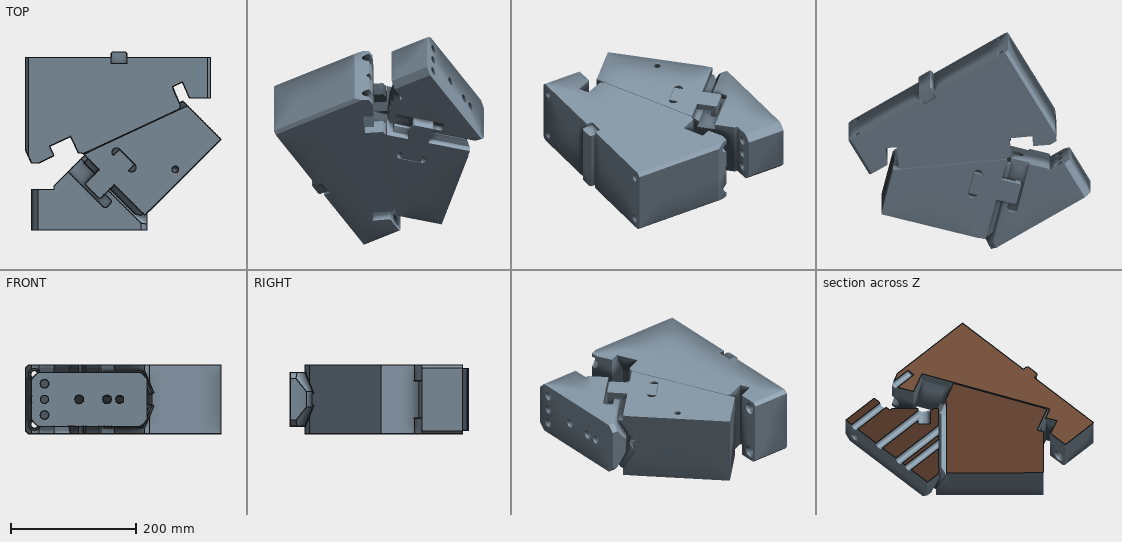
import cadquery as cq
import math

OVERSHOOT = 3.0
FAR = 187.0
HALF_HEIGHT = 55.0
BASE_HALF_HEIGHT = 43.15

JOINT_CORNER = (190.5, 23.22)
V_TAN = math.tan(math.radians(60))
V_SIN = math.sin(math.radians(60))
V_COS = math.cos(math.radians(60))
V_MOUTH = 45.2
PLATE_THICKNESS = 12.5
PLATE_SHIFT = PLATE_THICKNESS / V_SIN
RIB_HALF_WIDTH = 8.5
RIB_DEPTH = 16.2

GUIDE_ANGLE = 25.0
GUIDE_ORIGIN = (92.5, 121.7)
GUIDE_GAP = 1.0
THROAT_HALF_WIDTH = 30.2
THROAT_DEPTH = 19.3
HEAD_HALF_WIDTH = 42.0
ROOF_DEPTH = 33.3
ROOF_FLAT = 15.5


def joint_profile(along):
    x0, y0 = JOINT_CORNER
    step = along * math.sqrt(0.5)
    return cq.Workplane(cq.Plane((x0 - step, y0 + step, 0), (1, 1, 0), (-1, 1, 0)))


def joint_plan(z):
    return cq.Workplane(cq.Plane((*JOINT_CORNER, z), (-1, 1, 0), (0, 0, 1)))


GUIDE_COS = math.cos(math.radians(GUIDE_ANGLE))
GUIDE_SIN = math.sin(math.radians(GUIDE_ANGLE))


def guide_profile(along):
    x0, y0 = GUIDE_ORIGIN
    origin = (x0 + along * GUIDE_COS, y0 + along * GUIDE_SIN, 0)
    return cq.Workplane(cq.Plane(origin, (-GUIDE_SIN, GUIDE_COS, 0), (GUIDE_COS, GUIDE_SIN, 0)))


GUIDE_PLAN = cq.Plane((*GUIDE_ORIGIN, 0), (GUIDE_COS, GUIDE_SIN, 0))


def guide_point(along, depth):
    """Plan position from distances along the guide and into the driver."""
    return GUIDE_PLAN.toWorldCoords((along, depth)).toTuple()[:2]


def mirrored(half):
    """Close a half profile, given from outside to the centre, about the local x axis."""
    return half + [(x, -y) for x, y in reversed(half)]


def block(outline, half_height):
    return cq.Workplane("XY").workplane(offset=-half_height).polyline(outline).close().extrude(2 * half_height)


def bore(x, z, radius, y_start, y_end):
    """Cylinder along +Y."""
    axis = cq.Plane((x, y_start, z), (1, 0, 0), (0, 1, 0))
    return cq.Workplane(axis).circle(radius).extrude(y_end - y_start)


def contact_offset(z):
    """Distance across the joint at which base and wear plates meet, at height z."""
    return (V_MOUTH - z) / V_TAN - PLATE_SHIFT


def roof_depth(z):
    return ROOF_DEPTH + (HALF_HEIGHT - z) / V_TAN


DRIVER_TOP = 275.0
DRIVER_RIGHT = 294.8
DRIVER_FOOT = 106.5
DRIVER_RIGHT_FOOT = 210.0
DRIVER_CHAMFER = 5.0
NOSE_FILLET = 7.0
LEFT_FOOT = [(0, 127.0), (9.7, DRIVER_FOOT), (21.5, DRIVER_FOOT)]
NOSE_STEP = [(89.7, 122.5), (89.7, GUIDE_ORIGIN[1])]
RIGHT_NOTCH = [(248.7, 194.5), (234.3, 228.0), (250.0, 235.5), (261.0, DRIVER_RIGHT_FOOT)]
LEFT_NOTCH_START = -44.0
LEFT_NOTCH_END = -7.2
LEFT_NOTCH_LIP = 16.8
LEFT_NOTCH_NOSE = 4.5
GUIDE_LENGTH = 172.0
SCREW_INSET = 14.3
SCREW_Z = 40.0
SCREW_RADIUS = 6.0
COUNTERBORE_RADIUS = 9.5
LEFT_COUNTERBORE_FLOOR = 126.2
RIGHT_COUNTERBORE_FLOOR = 229.7
DRIVER_DOWEL_RADIUS = 6.2
DRIVER_DOWEL_END = 143.5
KEY_LEFT = 136.5
KEY_WIDTH = 25.0
KEY_BOTTOM = 265.0
KEY_TOP = 284.0
KEY_HALF_HEIGHT = 49.4
KEY_CHAMFER = 2.5


def guide_channel():
    """T slot with a V roof, along the whole driver joint."""
    half = [
        (-OVERSHOOT, THROAT_HALF_WIDTH),
        (THROAT_DEPTH, THROAT_HALF_WIDTH),
        (THROAT_DEPTH, HEAD_HALF_WIDTH),
        (roof_depth(HEAD_HALF_WIDTH), HEAD_HALF_WIDTH),
        (roof_depth(ROOF_FLAT), ROOF_FLAT),
    ]
    start = LEFT_NOTCH_END - OVERSHOOT
    channel = guide_profile(start).polyline(mirrored(half)).close().extrude(GUIDE_LENGTH - start)
    throat = guide_profile(start).polyline(mirrored(half[:2])).close().extrude(GUIDE_LENGTH + OVERSHOOT - start)
    return channel.union(throat)


def left_notch():
    """Cross slot with a V roof."""
    half = [(-OVERSHOOT, HALF_HEIGHT), (ROOF_DEPTH, HALF_HEIGHT), (roof_depth(ROOF_FLAT), ROOF_FLAT)]
    width = LEFT_NOTCH_END - LEFT_NOTCH_START
    return guide_profile(LEFT_NOTCH_START).polyline(mirrored(half)).close().extrude(width)


def make_driver():
    outline = [
        (0, DRIVER_TOP), *LEFT_FOOT,
        guide_point(LEFT_NOTCH_START, LEFT_NOTCH_LIP), guide_point(LEFT_NOTCH_END, LEFT_NOTCH_NOSE),
        *NOSE_STEP, GUIDE_ORIGIN,
        *RIGHT_NOTCH, (DRIVER_RIGHT, DRIVER_RIGHT_FOOT), (DRIVER_RIGHT, DRIVER_TOP),
    ]
    driver = block(outline, HALF_HEIGHT)
    driver = driver.faces("<X or >X").edges("#Z").edges("<Z or >Z").chamfer(DRIVER_CHAMFER)
    nose = cq.selectors.NearestToPointSelector((*RIGHT_NOTCH[0], 0))
    driver = driver.edges(nose).fillet(NOSE_FILLET)
    driver = driver.cut(guide_channel()).cut(left_notch())
    for x, foot, floor in (
        (SCREW_INSET, DRIVER_FOOT, LEFT_COUNTERBORE_FLOOR),
        (DRIVER_RIGHT - SCREW_INSET, DRIVER_RIGHT_FOOT, RIGHT_COUNTERBORE_FLOOR),
    ):
        for z in (-SCREW_Z, SCREW_Z):
            driver = driver.cut(bore(x, z, SCREW_RADIUS, foot - OVERSHOOT, DRIVER_TOP + OVERSHOOT))
            driver = driver.cut(bore(x, z, COUNTERBORE_RADIUS, foot - OVERSHOOT, floor))
    driver = driver.cut(bore(SCREW_INSET, 0, DRIVER_DOWEL_RADIUS, DRIVER_FOOT - OVERSHOOT, DRIVER_DOWEL_END))
    return add_key(driver)


def add_key(driver):
    """Locating key standing in a slot across the top of the driver."""
    key_x = KEY_LEFT + KEY_WIDTH / 2
    key_height = KEY_TOP - KEY_BOTTOM
    key_y = KEY_BOTTOM + key_height / 2
    slot = cq.Workplane("XY").box(KEY_WIDTH, key_height, 2 * HALF_HEIGHT).translate((key_x, key_y, 0))
    key = cq.Workplane("XY").box(KEY_WIDTH, key_height, 2 * KEY_HALF_HEIGHT)
    key = key.faces(">Y").edges("|Z").chamfer(KEY_CHAMFER)
    return driver.cut(slot).union(key.translate((key_x, key_y, 0)))


SLIDER_END_LENGTH = 171.5
END_STEP = 0.5
END_STEP_WIDTH = 10.3
PLATE_START = 4.7
PLATE_END = 128.0
PLATE_EDGE_CHAMFER = 2.2
PLATE_LEAD = 10.0
PLATE_LEAD_DEPTH = 7.5
PLATE_BACK_DEPTH = 20.0
PLATE_LENGTH = PLATE_BACK_DEPTH / V_COS
RIDGE_HEIGHT = 8.88
RIDGE_HALF_WIDTH = 29.3
HEAD_CLEARANCE = 1.0
HEAD_START = 9.5
HEAD_END = 168.3
HEAD_BOTTOM = THROAT_DEPTH + HEAD_CLEARANCE
SLIDER_HOLE = (238.7, 96.5)
SLIDER_HOLE_RADIUS = 5.3
SLIDER_HOLE_DEPTH = 25.0
SLIDER_HOLE_POINT = 3.0

HOOK_START = 69.2
HOOK_END = 103.0
HOOK_REACH = 32.5
LIP_WIDTH = 9.5
LIP_INNER = 35.0
ARM_INNER = 45.2
HOOK_CHAMFER = 2.2
HOOK_SEAT_DEPTH = 45.5
HOOK_SEAT_GAP = 0.5
RELIEF_RADIUS = 7.2


def guide_meets(point, direction):
    """Where a line at 45 degrees (direction +1 or -1) through point meets the slider's guide line."""
    x, y = point
    gap_x, gap_y = guide_point(0, -GUIDE_GAP)
    slope = GUIDE_SIN / GUIDE_COS
    meet_x = (gap_y - y + direction * x - slope * gap_x) / (direction - slope)
    return meet_x, y + direction * (meet_x - x)


def joint_point(along, across):
    """Plan position from distances up the joint and into the slider."""
    return joint_plan(0).plane.toWorldCoords((along, -across)).toTuple()[:2]


def slider_outline():
    right = joint_point(0, SLIDER_END_LENGTH)
    return [
        joint_point(END_STEP, 0), joint_point(END_STEP, END_STEP_WIDTH), joint_point(0, END_STEP_WIDTH),
        right, guide_meets(right, -1), guide_meets(JOINT_CORNER, -1),
    ]


def v_groove():
    """Groove that follows the base ridge, with a flat land at its bottom."""
    flat_edge = contact_offset(RIB_HALF_WIDTH)
    half = [
        (contact_offset(HALF_HEIGHT), HALF_HEIGHT), (flat_edge, RIB_HALF_WIDTH), (RIB_DEPTH, RIB_HALF_WIDTH),
    ]
    return joint_profile(-OVERSHOOT).polyline(mirrored(half)).close().extrude(FAR)


def plate_section(side):
    """Plane across one V flank: local x up the joint, local y from the seat out of the slider."""
    x0, y0 = JOINT_CORNER
    out = (-V_SIN * math.sqrt(0.5), -V_SIN * math.sqrt(0.5), -side * V_COS)
    up = (-math.sqrt(0.5), math.sqrt(0.5), 0)
    normal = cq.Vector(*up).cross(cq.Vector(*out))
    return cq.Workplane(cq.Plane((x0, y0, side * V_MOUTH), up, normal))


def seat(side):
    """Pocket for one wear plate, open at the lower slider end."""
    outline = [
        (-OVERSHOOT, 0), (PLATE_END, 0), (PLATE_END, 2 * PLATE_THICKNESS), (-OVERSHOOT, 2 * PLATE_THICKNESS),
    ]
    return plate_section(side).polyline(outline).close().extrude(-side * PLATE_LENGTH)


def plate(side):
    """Wear plate with a lead-in bevel and a broken outer edge."""
    outline = [
        (PLATE_START, 0), (PLATE_END, 0), (PLATE_END, PLATE_THICKNESS),
        (PLATE_START + PLATE_LEAD, PLATE_THICKNESS), (PLATE_START, PLATE_THICKNESS - PLATE_LEAD_DEPTH),
    ]
    section = plate_section(side)
    edge_middle = section.plane.toWorldCoords((PLATE_END / 2, PLATE_THICKNESS, 0)).toTuple()
    solid = section.polyline(outline).close().extrude(-side * PLATE_LENGTH)
    return solid.edges(cq.selectors.NearestToPointSelector(edge_middle)).chamfer(PLATE_EDGE_CHAMFER)


def hook_block(side, inner, near, far):
    """Block from the slider face in to height inner, between two distances into the base."""
    low = inner if side > 0 else -HALF_HEIGHT
    outline = [(HOOK_START, near), (HOOK_END, near), (HOOK_END, far), (HOOK_START, far)]
    return joint_plan(low).polyline(outline).close().extrude(HALF_HEIGHT - inner)


def hook(side):
    """Arm over the base with a lip that drops into the hook slot."""
    tip = cq.selectors.DirectionMinMaxSelector(cq.Vector(1, 1, 0), False)
    lip = hook_block(side, LIP_INNER, HOOK_REACH - LIP_WIDTH, HOOK_REACH)
    lip = lip.faces(tip).edges("|Z").chamfer(HOOK_CHAMFER)
    return lip.union(hook_block(side, ARM_INNER, -OVERSHOOT, HOOK_REACH - LIP_WIDTH))


def hook_reliefs(side):
    """Slit at the inner end of the hook seat, with a half-round relief beside each end."""
    slit = hook_block(side, ARM_INNER, -HOOK_SEAT_DEPTH - HOOK_SEAT_GAP, -HOOK_SEAT_DEPTH)
    low = ARM_INNER if side > 0 else -HALF_HEIGHT
    circle_y = RELIEF_RADIUS - HOOK_SEAT_DEPTH - HOOK_SEAT_GAP
    centres = [(HOOK_START, circle_y), (HOOK_END, circle_y)]
    rounds = joint_plan(low).pushPoints(centres).circle(RELIEF_RADIUS).extrude(HALF_HEIGHT - ARM_INNER)
    return rounds.cut(hook_block(side, ARM_INNER, -HOOK_SEAT_DEPTH, 0)).union(slit)


def guide_ridge():
    """Neck of the T guide; its lower end continues the upper right side of the slider."""
    corner = GUIDE_PLAN.toLocalCoords(cq.Vector(*guide_meets(joint_point(0, SLIDER_END_LENGTH), -1), 0)).x
    lean = (GUIDE_COS - GUIDE_SIN) / (GUIDE_COS + GUIDE_SIN)
    outline = [
        (HEAD_START, -OVERSHOOT), (corner - OVERSHOOT, -OVERSHOOT), (corner, -GUIDE_GAP),
        (corner - lean * (RIDGE_HEIGHT + GUIDE_GAP), RIDGE_HEIGHT),
        (HEAD_END, RIDGE_HEIGHT), (HEAD_END, HEAD_BOTTOM), (HEAD_START, HEAD_BOTTOM),
    ]
    neck = cq.Workplane(GUIDE_PLAN).polyline(outline).close().extrude(2 * RIDGE_HALF_WIDTH)
    return neck.translate((0, 0, -RIDGE_HALF_WIDTH))


def guide_head():
    """Head of the T guide under the V roof of the driver channel."""
    half_width = HEAD_HALF_WIDTH - HEAD_CLEARANCE
    half = [
        (HEAD_BOTTOM, half_width),
        (roof_depth(HEAD_HALF_WIDTH) - HEAD_CLEARANCE, half_width),
        (roof_depth(ROOF_FLAT) - HEAD_CLEARANCE, ROOF_FLAT),
    ]
    return guide_profile(HEAD_START).polyline(mirrored(half)).close().extrude(HEAD_END - HEAD_START)


def slider_hole():
    """Drilled hole in the upper face, with a conical bottom."""
    bottom = HALF_HEIGHT - SLIDER_HOLE_DEPTH
    hole = cq.Workplane("XY").workplane(offset=bottom).center(*SLIDER_HOLE).circle(SLIDER_HOLE_RADIUS)
    point = cq.Solid.makeCone(
        SLIDER_HOLE_RADIUS, 0, SLIDER_HOLE_POINT, pnt=cq.Vector(*SLIDER_HOLE, bottom), dir=cq.Vector(0, 0, -1)
    )
    return hole.extrude(2 * SLIDER_HOLE_DEPTH).union(cq.Workplane(point))


def make_slider():
    slider = block(slider_outline(), HALF_HEIGHT)
    slider = slider.union(guide_ridge()).union(guide_head()).cut(v_groove())
    for side in (-1, 1):
        slider = slider.cut(seat(side)).union(plate(side)).union(hook(side)).cut(hook_reliefs(side))
    return slider.cut(slider_hole())


BASE_LEFT = 10.0
BASE_RIGHT = 193.8
BASE_CHAMFER = 10.0
BASE_SHOULDER = [(45.2, 64.8), (45.2, 69.8)]
RIDGE_TOP_HALF_WIDTH = 12.5
FLOOR_HEIGHT = 34.3
SLOT_FAR_SIDE = 37.5
SLOT_NEAR_SIDE = 21.0
SLOT_START = 52.0
SLOT_FILLET = 5.0
BASE_HOLE_SPACING = 25.0
BASE_SCREW_RADIUS = 7.0
BASE_DOWEL_RADIUS = 6.4
FOOT_HOLE_X = 30.38
SIDE_SCREW_X = 85.5
CENTRE_SCREW_X = 130.0
CENTRE_DOWEL_X = 150.2
SPRING_OFFSET = 18.7
SPRING_RADIUS = 9.5
SPRING_BOTTOM = 102.8


def v_ridge():
    """Stock on the base side of the V joint."""
    half = [
        (-FAR, BASE_HALF_HEIGHT), (contact_offset(BASE_HALF_HEIGHT), BASE_HALF_HEIGHT),
        (contact_offset(RIDGE_TOP_HALF_WIDTH), RIDGE_TOP_HALF_WIDTH),
    ]
    return joint_profile(-FAR).polyline(mirrored(half)).close().extrude(3 * FAR)


def hook_slot(side):
    """Slot for a hook: open at the upper left, blind and rounded at the lower right."""
    low = FLOOR_HEIGHT if side > 0 else -HALF_HEIGHT
    depth = HALF_HEIGHT - FLOOR_HEIGHT
    blind = [
        (SLOT_START, SLOT_NEAR_SIDE), (FAR, SLOT_NEAR_SIDE), (FAR, SLOT_FAR_SIDE), (SLOT_START, SLOT_FAR_SIDE),
    ]
    wide = [(HOOK_START, -FAR), (FAR, -FAR), (FAR, SLOT_FAR_SIDE), (HOOK_START, SLOT_FAR_SIDE)]
    end = cq.selectors.DirectionMinMaxSelector(cq.Vector(1, -1, 0), True)
    slot = joint_plan(low).polyline(blind).close().extrude(depth).faces(end).edges("|Z").fillet(SLOT_FILLET)
    return slot.union(joint_plan(low).polyline(wide).close().extrude(depth))


def make_base():
    step_x, step_y = BASE_SHOULDER[-1]
    outline = [
        (BASE_LEFT, 0), (BASE_LEFT, BASE_SHOULDER[0][1]), *BASE_SHOULDER,
        (BASE_RIGHT, step_y + BASE_RIGHT - step_x), (BASE_RIGHT, 0),
    ]
    base = block(outline, BASE_HALF_HEIGHT)
    base = base.faces("<X or >X").edges("|Y").chamfer(BASE_CHAMFER).intersect(v_ridge())
    for side in (-1, 1):
        base = base.cut(hook_slot(side))
    holes = [
        (FOOT_HOLE_X, -BASE_HOLE_SPACING, BASE_SCREW_RADIUS),
        (FOOT_HOLE_X, 0, BASE_DOWEL_RADIUS),
        (FOOT_HOLE_X, BASE_HOLE_SPACING, BASE_SCREW_RADIUS),
        (SIDE_SCREW_X, 0, BASE_SCREW_RADIUS),
        (CENTRE_SCREW_X, 0, BASE_SCREW_RADIUS),
        (CENTRE_DOWEL_X, 0, BASE_DOWEL_RADIUS),
    ]
    for x, z, radius in holes:
        base = base.cut(bore(x, z, radius, -OVERSHOOT, FAR))
    return base.cut(joint_profile(SPRING_BOTTOM).center(-SPRING_OFFSET, 0).circle(SPRING_RADIUS).extrude(FAR))


driver = make_driver()
slider = make_slider()
base = make_base()
result = cq.Compound.makeCompound([driver.val(), slider.val(), base.val()])